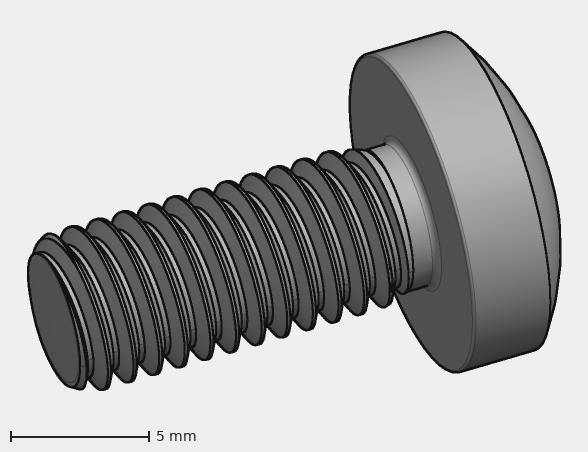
import cadquery as cq
import math

head_diameter = 12.0
head_rim_height = 3.0
head_height = 4.6
head_top_flat_diameter = 6.0
head_rim_fillet = 0.1

shank_length = 14.0
neck_diameter = 5.35
neck_length = 1.0
neck_fillet = 0.25
tip_dome_height = 0.03

thread_diameter = 6.0
pitch = 1.0
flank_half_angle = 30.0
crest_width = pitch / 8
root_diameter = 4.86
thread_taper_angle = 18.0
tip_chamfer_start_diameter = 5.2
tip_chamfer_angle = 30.0

head_radius = head_diameter / 2
neck_radius = neck_diameter / 2
crest_radius = thread_diameter / 2
root_radius = root_diameter / 2
tip_radius = tip_chamfer_start_diameter / 2
tip_plane = shank_length - tip_dome_height
thread_overlap = 0.08
envelope_clearance = 0.2

screw_axis = ((0, 0, 0), (0, 1, 0))


def make_head():
    """Domed head standing on the plane z = 0 and rising towards -Z."""
    flat_radius = head_top_flat_diameter / 2
    dome_height = head_height - head_rim_height
    centre_below_rim = (head_radius**2 - flat_radius**2 - dome_height**2) / (2 * dome_height)
    dome_radius = math.hypot(head_radius, centre_below_rim)
    mid_radius = (head_radius + flat_radius) / 2
    mid_height = head_rim_height - centre_below_rim + math.sqrt(dome_radius**2 - mid_radius**2)
    head = (
        cq.Workplane("XZ")
        .lineTo(head_radius, 0)
        .lineTo(head_radius, -head_rim_height)
        .threePointArc((mid_radius, -mid_height), (flat_radius, -head_height))
        .lineTo(0, -head_height)
        .close()
        .revolve(360, *screw_axis)
    )
    return head.faces(">Z").edges().fillet(head_rim_fillet)


def make_core():
    """Neck with its fillet under the head, and the root cylinder with its domed tip."""
    fillet_outer = neck_radius + neck_fillet
    fillet_reach = neck_fillet * (1 - math.sqrt(0.5))
    dome_radius = (root_radius**2 + tip_dome_height**2) / (2 * tip_dome_height)
    mid_radius = root_radius / 2
    mid_height = shank_length - dome_radius + math.sqrt(dome_radius**2 - mid_radius**2)
    return (
        cq.Workplane("XZ")
        .lineTo(fillet_outer, 0)
        .threePointArc((neck_radius + fillet_reach, fillet_reach), (neck_radius, neck_fillet))
        .lineTo(neck_radius, neck_length)
        .lineTo(root_radius, neck_length)
        .lineTo(root_radius, tip_plane)
        .threePointArc((mid_radius, mid_height), (0, shank_length))
        .close()
        .revolve(360, *screw_axis)
    )


def make_thread_envelope():
    """Solid of revolution that tapers the thread at the neck and chamfers it at the tip."""
    outer_radius = crest_radius + envelope_clearance
    taper_length = (outer_radius - neck_radius) / math.tan(math.radians(thread_taper_angle))
    chamfer_length = (outer_radius - tip_radius) / math.tan(math.radians(tip_chamfer_angle))
    return (
        cq.Workplane("XZ")
        .moveTo(0, neck_length)
        .lineTo(neck_radius, neck_length)
        .lineTo(outer_radius, neck_length + taper_length)
        .lineTo(outer_radius, tip_plane - chamfer_length)
        .lineTo(tip_radius, tip_plane)
        .lineTo(0, tip_plane)
        .close()
        .revolve(360, *screw_axis)
    )


def make_thread():
    """Helical ridge, crest on the +X side at whole pitches, trimmed to the envelope."""
    start = neck_length - pitch
    length = shank_length + pitch - start
    base_radius = root_radius - thread_overlap
    crest_half = crest_width / 2
    base_half = crest_half + (crest_radius - base_radius) * math.tan(math.radians(flank_half_angle))
    helix = cq.Wire.makeHelix(pitch, length, root_radius, cq.Vector(0, 0, start))
    ridge = (
        cq.Workplane("XZ")
        .moveTo(base_radius, start - base_half)
        .lineTo(crest_radius, start - crest_half)
        .lineTo(crest_radius, start + crest_half)
        .lineTo(base_radius, start + base_half)
        .close()
        .sweep(cq.Workplane(helix), isFrenet=True)
    )
    return ridge.intersect(make_thread_envelope())


screw = make_core().union(make_thread()).union(make_head())

result = screw.rotate((0, 0, 0), (1, 0, 0), 90)